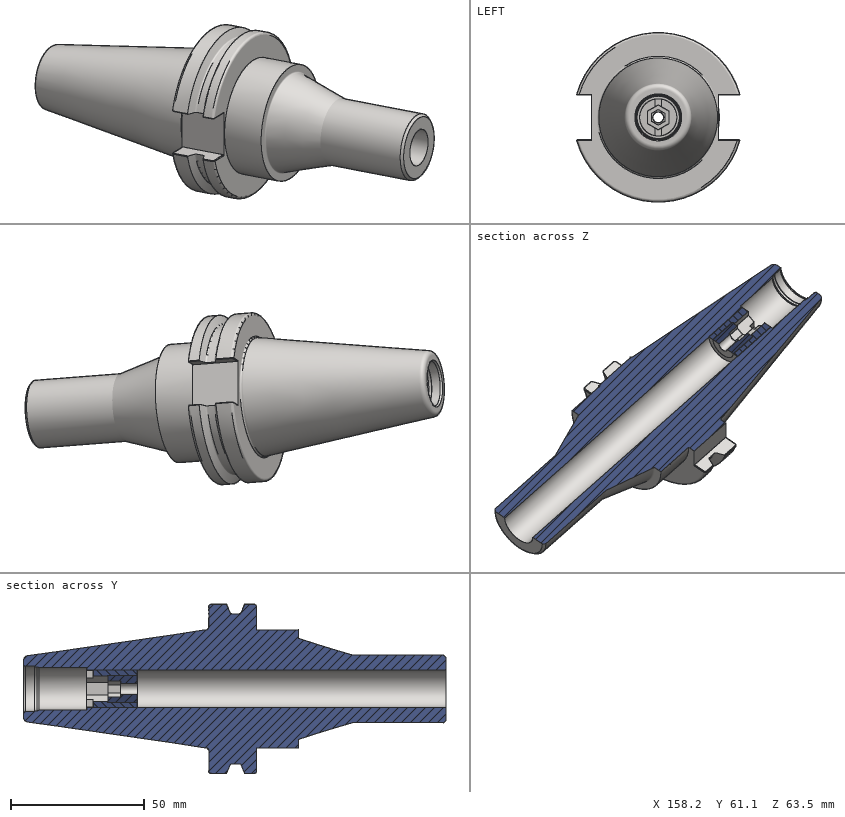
import cadquery as cq
import math

LENGTH = 158.2
FLANGE_START = 69.3
FLANGE_END = 87.4
COLLAR_END = 103.0
CONE_END = 123.3

GAUGE_X = 68.2
INNER_FILLET = 0.6
GAUGE_RADIUS = 44.5 / 2
TAPER_SLOPE = 7 / 48
SHANK_END_FILLET = 1.9

COLLAR_RADIUS = GAUGE_RADIUS
CONE_START_RADIUS = 19.0
NOSE_RADIUS = 25.5 / 2
NOSE_CHAMFER = 1.0

FLANGE_RADIUS = 63.5 / 2
FLANGE_FILLET = 1.0
GROOVE_FILLET = 0.6
GROOVE_FLOOR_RADIUS = 28.2
GROOVE_CENTRE = 79.5
GROOVE_FLOOR_WIDTH = 3.6
GROOVE_TOP_WIDTH = 6.6

SLOT_WIDTH = 16.6
SLOT_CHAMFER = 0.3
FRONT_SLOT_FLOOR = 22.6
BACK_SLOT_FLOOR = 25.0

MOUTH_RADIUS = 17.5 / 2
MOUTH_CHAMFER_DEPTH = 0.8
COUNTERBORE_RADIUS = 16.8 / 2
COUNTERBORE_DEPTH = 4.1
STEP_RADIUS = 16.3 / 2
STEP_END = 5.2
THREAD_START = 5.9
THREAD_RADIUS = 15.8 / 2
THREAD_END = 23.7
BORE_RADIUS = 14.0 / 2

SCREW_START = THREAD_END
SCREW_LENGTH = 19.0
HEX_ACROSS_FLATS = 8.0
HEX_DEPTH = 7.9
SCREW_SLOT_WIDTH = 2.4
SCREW_SLOT_DEPTH = 2.4

STOP_RADIUS = 10.0 / 2
STOP_HEX_ACROSS_FLATS = 5.0
STOP_HEX_DEPTH = 4.7
STOP_HOLE_RADIUS = 4.0 / 2


def turn(outline):
    """Solid turned about the X axis from a closed outline in the XY plane."""
    return outline.revolve(360, (0, 0, 0), (1, 0, 0))


def cylinder(start, length, radius):
    """Cylinder along the X axis from x = start."""
    return cq.Workplane("YZ", origin=(start, 0, 0)).circle(radius).extrude(length)


def hex_socket(start, depth, across_flats):
    """Hexagonal prism along X with two corners on the Z axis."""
    corner_diameter = across_flats / math.cos(math.pi / 6)
    profile = cq.Workplane("YZ", origin=(start, 0, 0)).transformed(rotate=(0, 0, 90))
    return profile.polygon(6, corner_diameter).extrude(depth)


def rounded_outline(corners):
    """Closed outline in the XY plane from (x, radius, round) corners; a round of 0 stays sharp."""
    outline = cq.Workplane("XY").moveTo(*corners[0][:2])
    for before, corner, after in zip(corners, corners[1:], corners[2:]):
        point = cq.Vector(corner[0], corner[1])
        round_radius = corner[2]
        if round_radius == 0:
            outline = outline.lineTo(point.x, point.y)
            continue
        to_before = (cq.Vector(before[0], before[1]) - point).normalized()
        to_after = (cq.Vector(after[0], after[1]) - point).normalized()
        half_angle = to_before.getAngle(to_after) / 2
        setback = round_radius / math.tan(half_angle)
        centre_distance = round_radius / math.sin(half_angle)
        bisector = (to_before + to_after).normalized()
        arc_start = point + to_before * setback
        arc_middle = point + bisector * (centre_distance - round_radius)
        arc_end = point + to_after * setback
        outline = outline.lineTo(arc_start.x, arc_start.y)
        outline = outline.threePointArc((arc_middle.x, arc_middle.y), (arc_end.x, arc_end.y))
    return outline.lineTo(*corners[-1][:2]).close()


def turned_body():
    """Shank, flange, collar, cone and nose turned as one piece."""
    half_floor = GROOVE_FLOOR_WIDTH / 2
    half_top = GROOVE_TOP_WIDTH / 2
    corners = [
        (0, 0, 0),
        (0, GAUGE_RADIUS - GAUGE_X * TAPER_SLOPE, SHANK_END_FILLET),
        (GAUGE_X, GAUGE_RADIUS, 0),
        (FLANGE_START, GAUGE_RADIUS, INNER_FILLET),
        (FLANGE_START, FLANGE_RADIUS, FLANGE_FILLET),
        (GROOVE_CENTRE - half_top, FLANGE_RADIUS, 0),
        (GROOVE_CENTRE - half_floor, GROOVE_FLOOR_RADIUS, GROOVE_FILLET),
        (GROOVE_CENTRE + half_floor, GROOVE_FLOOR_RADIUS, GROOVE_FILLET),
        (GROOVE_CENTRE + half_top, FLANGE_RADIUS, 0),
        (FLANGE_END, FLANGE_RADIUS, FLANGE_FILLET),
        (FLANGE_END, COLLAR_RADIUS, 0),
        (COLLAR_END, COLLAR_RADIUS, 0),
        (COLLAR_END, CONE_START_RADIUS, INNER_FILLET),
        (CONE_END, NOSE_RADIUS, 0),
        (LENGTH - NOSE_CHAMFER, NOSE_RADIUS, 0),
        (LENGTH, NOSE_RADIUS - NOSE_CHAMFER, 0),
        (LENGTH, 0, 0),
    ]
    return turn(rounded_outline(corners))


def drive_slot(side, floor):
    """Slot across the flange on the +Y (side = 1) or -Y (side = -1) side."""
    width = FLANGE_END - FLANGE_START
    slot = cq.Workplane("XY").box(width, FLANGE_RADIUS, SLOT_WIDTH)
    return slot.translate((FLANGE_START + width / 2, side * (floor + FLANGE_RADIUS / 2), 0))


def bore():
    """Stepped bore: mouth chamfer, counterbore, tapered lead-in, thread and through bore."""
    points = [
        (0, 0),
        (0, MOUTH_RADIUS),
        (MOUTH_CHAMFER_DEPTH, COUNTERBORE_RADIUS),
        (COUNTERBORE_DEPTH, COUNTERBORE_RADIUS),
        (COUNTERBORE_DEPTH, STEP_RADIUS),
        (STEP_END, STEP_RADIUS),
        (THREAD_START, THREAD_RADIUS),
        (THREAD_END, THREAD_RADIUS),
        (THREAD_END, BORE_RADIUS),
        (LENGTH, BORE_RADIUS),
        (LENGTH, 0),
    ]
    return turn(cq.Workplane("XY").polyline(points).close())


def slot_chamfer_edges(holder, side, floor, wall):
    """Outer edges of one slot wall, leaving out the edges on the slot floor and inside the groove."""
    wall_z = wall * SLOT_WIDTH / 2
    in_wall_plane = cq.selectors.BoxSelector(
        (FLANGE_START - SLOT_CHAMFER, side * (floor + SLOT_CHAMFER), wall_z - SLOT_CHAMFER),
        (FLANGE_END + SLOT_CHAMFER, side * FLANGE_RADIUS, wall_z + SLOT_CHAMFER),
    )
    in_groove = cq.selectors.BoxSelector(
        (GROOVE_CENTRE - GROOVE_TOP_WIDTH / 2, -FLANGE_RADIUS, -FLANGE_RADIUS),
        (GROOVE_CENTRE + GROOVE_TOP_WIDTH / 2, FLANGE_RADIUS, FLANGE_RADIUS),
    )
    return holder.edges(in_wall_plane - in_groove)


def make_holder():
    """Taper holder with its flange, drive slots and bore."""
    holder = turned_body()
    for side, floor in ((-1, FRONT_SLOT_FLOOR), (1, BACK_SLOT_FLOOR)):
        holder = holder.cut(drive_slot(side, floor))
        for wall in (-1, 1):
            holder = slot_chamfer_edges(holder, side, floor, wall).chamfer(SLOT_CHAMFER)
    return holder.cut(bore())


def make_adjusting_screw():
    """Screw that fills the bore, with a cross slot, a hexagon socket and a hole for the stop screw."""
    body = cylinder(SCREW_START, SCREW_LENGTH, BORE_RADIUS)
    slot = cq.Workplane("XY").box(2 * SCREW_SLOT_DEPTH, SCREW_SLOT_WIDTH, 2 * BORE_RADIUS)
    body = body.cut(slot.translate((SCREW_START, 0, 0)))
    body = body.cut(hex_socket(SCREW_START, HEX_DEPTH, HEX_ACROSS_FLATS))
    return body.cut(cylinder(SCREW_START + HEX_DEPTH, SCREW_LENGTH - HEX_DEPTH, STOP_RADIUS))


def make_stop_screw():
    """Small screw behind the socket of the adjusting screw, with its own socket and a coolant hole."""
    start = SCREW_START + HEX_DEPTH
    length = SCREW_LENGTH - HEX_DEPTH
    body = cylinder(start, length, STOP_RADIUS)
    body = body.cut(hex_socket(start, STOP_HEX_DEPTH, STOP_HEX_ACROSS_FLATS))
    return body.cut(cylinder(start, length, STOP_HOLE_RADIUS))


holder = make_holder()
adjusting_screw = make_adjusting_screw()
stop_screw = make_stop_screw()

result = cq.Compound.makeCompound([holder.val(), adjusting_screw.val(), stop_screw.val()])